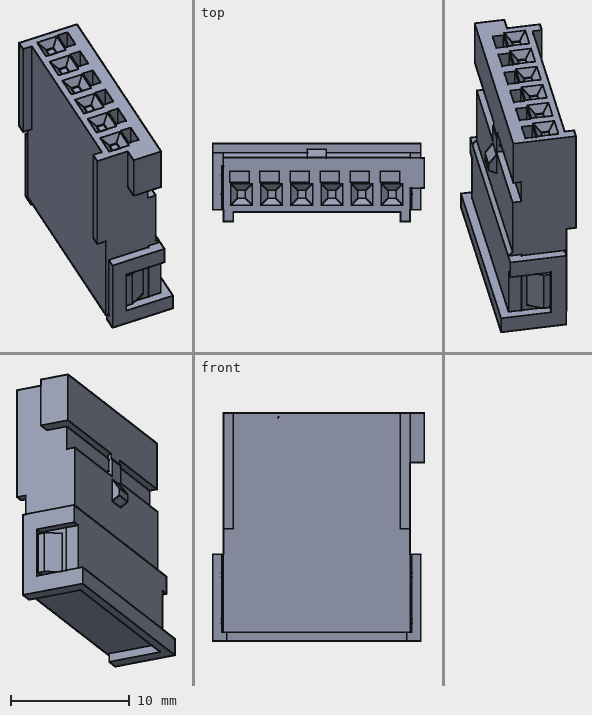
import cadquery as cq


height = 19.2
total_depth = 6.6

body_width = 15.7
body_front_y = 0.8
body_bottom_z = 0.75
upper_back_y = 5.38
middle_back_y = 5.43
lower_back_y = 5.82
back_step_z = 14.57
back_slope_top_z = 7.66
shoulder_z = 7.32

rib_width = 0.83
rib_bottom_z = 9.45

key_end_x = 9.05
key_front_y = 2.82
key_bottom_z = 15.01

ear_span = 17.51
ear_front_y = 1.0
ear_gap = 0.15
gap_back_y = 4.7
feet_spacing = 15.13
flange_height = 1.5
window_front_y = 2.28
window_top_z = 5.75

ramp_front_y = 2.36
ramp_crest_y = 2.9
ramp_back_y = 4.25
ramp_rise = 0.71
ramp_bottom_z = 1.86
ramp_top_z = 5.38

arm_width = 1.6
arm_thickness = 0.3
notch_bottom_z = 12.96
notch_front_y = 4.68
arm_root_z = 13.52
latch_tip_y = 6.1
latch_bottom_z = 10.71
latch_tip_bottom_z = 11.12
latch_tip_top_z = 11.77
latch_top_z = 12.71

contact_count = 6
contact_pitch = 2.53
funnel_y = 2.3
funnel_mouth = 1.82
funnel_throat = 0.67
funnel_depth = 0.6
throat_depth = 0.1
slot_width = 1.61
slot_front_y = 3.32
slot_back_y = 4.25
slot_depth = 3.84
slot_offset_x = -0.17

half_body = body_width / 2
half_ears = ear_span / 2
half_feet = feet_spacing / 2
gap_outer_x = half_body + ear_gap


def block(x_range, y_range, z_range):
    """Box spanning the given (low, high) ranges."""
    (x0, x1), (y0, y1), (z0, z1) = x_range, y_range, z_range
    return cq.Workplane("XY").box(x1 - x0, y1 - y0, z1 - z0, centered=False).translate((x0, y0, z0))


def side_profile(points, width):
    """Extrude a (Y, Z) outline along X, centred on the body."""
    return cq.Workplane("YZ").polyline(points).close().extrude(width / 2, both=True)


def mirrored(solid):
    """The solid together with its mirror image on the other X side."""
    return solid.union(solid.mirror("YZ"))


def make_body():
    """Body with its stepped back, front ribs and polarising key."""
    outline = [
        (body_front_y, body_bottom_z),
        (lower_back_y, body_bottom_z),
        (lower_back_y, shoulder_z),
        (middle_back_y, back_slope_top_z),
        (middle_back_y, back_step_z),
        (upper_back_y, back_step_z),
        (upper_back_y, height),
        (body_front_y, height),
    ]
    rib = block((half_body - rib_width, half_body), (0, body_front_y), (rib_bottom_z, height))
    key = block((half_body, key_end_x), (key_front_y, upper_back_y), (key_bottom_z, height))
    return side_profile(outline, body_width).union(mirrored(rib)).union(key)


def make_ear():
    """+X ear: a windowed wall held off the body by a thin gap, on a foot."""
    ear_depth = (ear_front_y, lower_back_y)
    wall = block((half_body, half_ears), ear_depth, (0, shoulder_z))
    foot = block((half_feet, half_ears), ear_depth, (0, body_bottom_z))
    gap = block((half_body, gap_outer_x), (ear_front_y, gap_back_y), (body_bottom_z, shoulder_z))
    window = block((gap_outer_x, half_ears), (window_front_y, lower_back_y), (flange_height, window_top_z))
    return wall.cut(gap).cut(window).union(foot)


def make_ramp():
    """Latch ramp rising from the +X side of the body into the ear window."""
    crest_x = half_body + ramp_rise
    outline = [
        (half_body, ramp_front_y),
        (crest_x, ramp_front_y),
        (crest_x, ramp_crest_y),
        (half_body, ramp_back_y),
    ]
    ramp = cq.Workplane("XY").polyline(outline).close().extrude(ramp_top_z - ramp_bottom_z)
    return ramp.translate((0, 0, ramp_bottom_z))


def make_arm():
    """Locking arm bridging the notch, with a step matching the body's back."""
    outline = [
        (notch_front_y, notch_bottom_z),
        (middle_back_y, notch_bottom_z),
        (middle_back_y, back_step_z),
        (upper_back_y, back_step_z),
        (upper_back_y, key_bottom_z),
        (upper_back_y - arm_thickness, key_bottom_z),
        (upper_back_y - arm_thickness, back_step_z),
        (middle_back_y - arm_thickness, back_step_z),
        (middle_back_y - arm_thickness, arm_root_z),
        (notch_front_y, arm_root_z),
    ]
    return side_profile(outline, arm_width)


def make_latch():
    """Latch nose on the back face, below the arm."""
    outline = [
        (middle_back_y, latch_bottom_z),
        (latch_tip_y, latch_tip_bottom_z),
        (latch_tip_y, latch_tip_top_z),
        (middle_back_y, latch_top_z),
    ]
    return side_profile(outline, arm_width)


def make_contact_opening(x):
    """Tapered contact funnel with its throat, and the slot behind it."""
    funnel = (
        cq.Workplane("XY", origin=(x, funnel_y, height))
        .rect(funnel_mouth, funnel_mouth)
        .workplane(offset=-funnel_depth)
        .rect(funnel_throat, funnel_throat)
        .loft(ruled=True)
    )
    throat = (
        cq.Workplane("XY", origin=(x, funnel_y, height - funnel_depth))
        .rect(funnel_throat, funnel_throat)
        .extrude(-throat_depth)
    )
    slot_left = x + slot_offset_x - slot_width / 2
    slot = block(
        (slot_left, slot_left + slot_width),
        (slot_front_y, slot_back_y),
        (height - slot_depth, height),
    )
    return funnel.union(throat).union(slot)


flange = block((-half_ears, half_ears), (lower_back_y, total_depth), (0, flange_height))
notch = block(
    (-half_body, half_body),
    (notch_front_y, middle_back_y),
    (notch_bottom_z, key_bottom_z),
)

result = make_body().cut(notch)
result = result.union(make_arm()).union(make_latch())
result = result.union(mirrored(make_ear())).union(mirrored(make_ramp())).union(flange)

for i in range(contact_count):
    contact_x = (i - (contact_count - 1) / 2) * contact_pitch
    result = result.cut(make_contact_opening(contact_x))